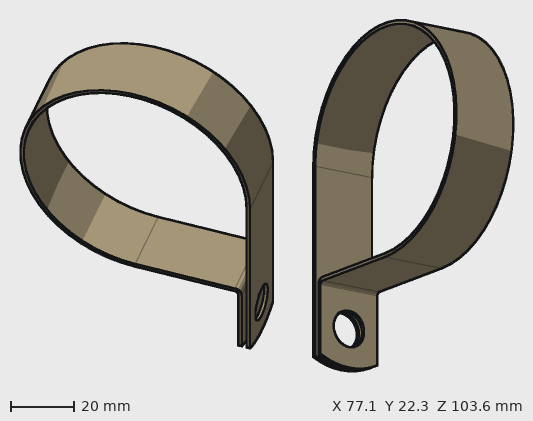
import cadquery as cq
import math

loop_diameter = 77.1
strap_width = 22.3
overall_height = 103.6
thickness = 1.2
leg_gap = 1.6
bend_radius = 1.0
hole_diameter = 11.9
hole_height = 12.7
tip_rise = 2.6

outer_radius = loop_diameter / 2
inner_radius = outer_radius - thickness
tip_z = outer_radius - overall_height
short_leg_outer_x = inner_radius - leg_gap
short_leg_inner_x = short_leg_outer_x - thickness
bend_x = short_leg_inner_x - bend_radius
bend_z = -outer_radius - bend_radius


def bent_strap():
    """Three-quarter loop with a long straight leg and a short bent leg."""
    diagonal = math.sqrt(0.5)
    bend_outer_radius = bend_radius + thickness
    profile = (
        cq.Workplane("XZ")
        .moveTo(outer_radius, tip_z)
        .lineTo(outer_radius, 0)
        .threePointArc((-outer_radius * diagonal, outer_radius * diagonal), (0, -outer_radius))
        .lineTo(bend_x, -outer_radius)
        .radiusArc((short_leg_inner_x, bend_z), bend_radius)
        .lineTo(short_leg_inner_x, tip_z)
        .lineTo(short_leg_outer_x, tip_z)
        .lineTo(short_leg_outer_x, bend_z)
        .radiusArc((bend_x, -inner_radius), -bend_outer_radius)
        .lineTo(0, -inner_radius)
        .threePointArc((-inner_radius * diagonal, inner_radius * diagonal), (inner_radius, 0))
        .lineTo(inner_radius, tip_z)
        .close()
    )
    return profile.extrude(strap_width / 2, both=True)


def rounded_tip_envelope():
    """Block over the whole strap whose lower end is a shallow arc across Y."""
    half_width = strap_width / 2
    outline = (
        cq.Workplane("YZ")
        .moveTo(-half_width, outer_radius)
        .lineTo(-half_width, tip_z + tip_rise)
        .threePointArc((0, tip_z), (half_width, tip_z + tip_rise))
        .lineTo(half_width, outer_radius)
        .close()
    )
    return outline.extrude(outer_radius, both=True)


def bolt_hole():
    """Cutter for the clamping hole through both legs."""
    return (
        cq.Workplane("YZ")
        .center(0, tip_z + hole_height)
        .circle(hole_diameter / 2)
        .extrude(outer_radius)
    )


result = bent_strap().intersect(rounded_tip_envelope()).cut(bolt_hole())